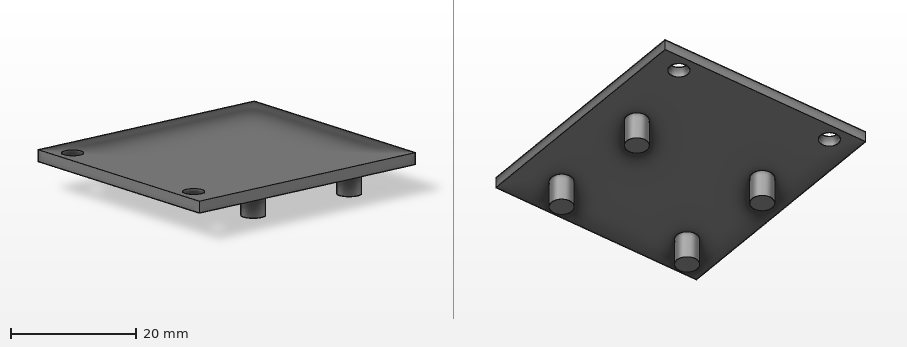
import cadquery as cq

plate_width = 40.0
plate_length = 45.0
overall_height = 7.0
plate_thickness = 2.0

pin_diameter = 4.0
pin_height = overall_height - plate_thickness
pin_spacing_x = 25.0
pin_spacing_y = 20.0
pin_back_margin = 7.5
pin_pattern_y = plate_length / 2 - pin_back_margin - pin_spacing_y / 2

hole_diameter = 3.5
hole_spacing = 30.0
hole_edge_margin = 3.0
hole_y = -plate_length / 2 + hole_edge_margin


def make_plate():
    return cq.Workplane("XY").box(
        plate_width, plate_length, plate_thickness, centered=(True, True, False)
    )


def make_pins():
    return (
        cq.Workplane("XY")
        .center(0, pin_pattern_y)
        .rect(pin_spacing_x, pin_spacing_y, forConstruction=True)
        .vertices()
        .circle(pin_diameter / 2)
        .extrude(-pin_height)
    )


def make_hole_cutters():
    return (
        cq.Workplane("XY")
        .pushPoints([(side * hole_spacing / 2, hole_y) for side in (-1, 1)])
        .circle(hole_diameter / 2)
        .extrude(plate_thickness)
    )


result = make_plate().union(make_pins()).cut(make_hole_cutters())